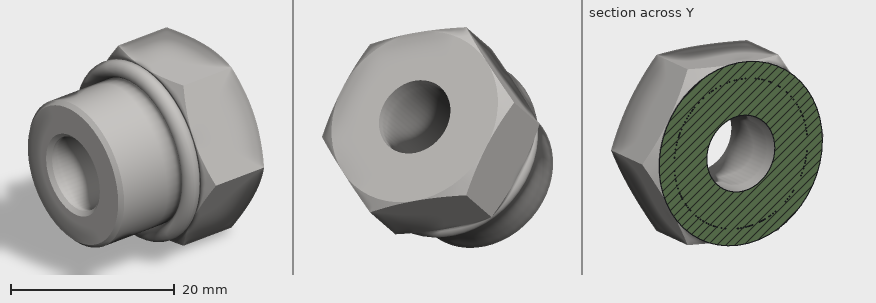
import cadquery as cq
import math

across_corners = 25.8
across_flats = across_corners * math.cos(math.radians(30))
head_length = 9.47
head_chamfer_angle = 30.0

total_length = 20.57
shank_diameter = 18.95
shank_chamfer = 0.52

ring_outer_diameter = 23.33
ring_section_radius = 1.1
ring_sink = 0.03

bore_diameter = 9.6
bore_chamfer = 0.52


def y_cylinder(diameter, length):
    """Cylinder running from the origin toward -Y."""
    return cq.Workplane("XZ").circle(diameter / 2).extrude(length)


def make_head():
    """Hexagon with corners on X, its corners turned off conically at both ends."""
    hexagon = cq.Workplane("XZ").polygon(6, across_corners).extrude(head_length)
    corner_radius = across_corners / 2
    flat_radius = across_flats / 2
    chamfer_depth = (corner_radius - flat_radius) * math.tan(math.radians(head_chamfer_angle))
    turned_blank = (
        cq.Workplane("XY")
        .moveTo(0, 0)
        .lineTo(flat_radius, 0)
        .lineTo(corner_radius, -chamfer_depth)
        .lineTo(corner_radius, chamfer_depth - head_length)
        .lineTo(flat_radius, -head_length)
        .lineTo(0, -head_length)
        .close()
        .revolve(360, (0, 0, 0), (0, 1, 0))
    )
    return hexagon.intersect(turned_blank)


def make_shank():
    """Shank running through the head, chamfered at its free end."""
    return y_cylinder(shank_diameter, total_length).faces("<Y").chamfer(shank_chamfer)


def make_ring():
    """Round-section ring seated against the head."""
    center_radius = ring_outer_diameter / 2 - ring_section_radius
    center_y = -head_length - ring_section_radius + ring_sink
    return (
        cq.Workplane("XY")
        .center(center_radius, center_y)
        .circle(ring_section_radius)
        .revolve(360, (-center_radius, 0, 0), (-center_radius, 1, 0))
    )


def make_bore():
    """Through bore with a conical entry at the shank end."""
    entry = (
        cq.Workplane("XZ", origin=(0, -total_length, 0))
        .circle(bore_diameter / 2 + bore_chamfer)
        .extrude(-bore_chamfer, taper=45)
    )
    return y_cylinder(bore_diameter, total_length).union(entry)


result = make_head().union(make_shank()).union(make_ring()).cut(make_bore())